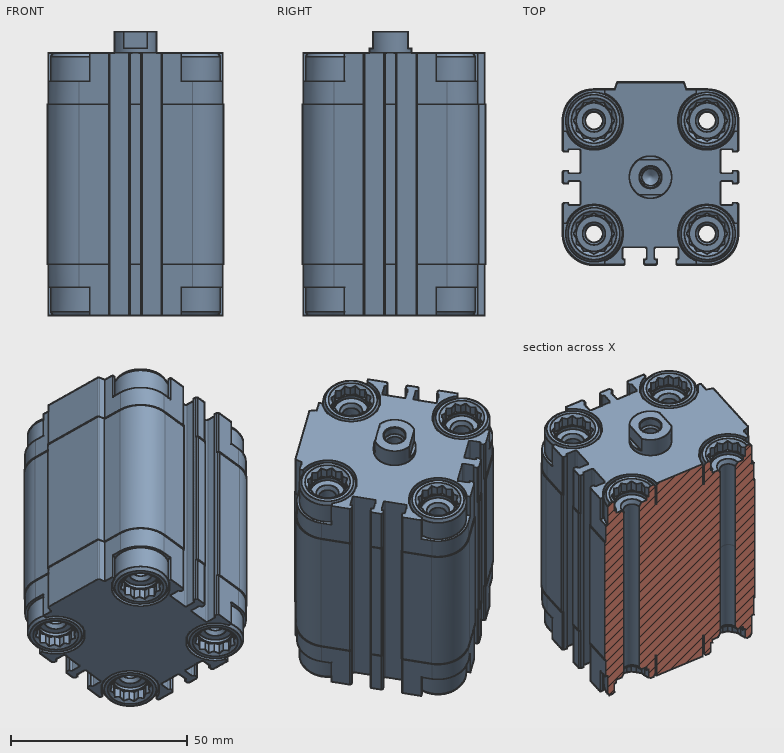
import cadquery as cq
import math

total_height = 80.5
housing_height = 74.5
housing_width = 50.0
half_width = housing_width / 2

cap_height = 14.5
cap_inset = 0.25

ridge_rise = 2.0
ridge_top_width = 19.0
ridge_base_width = 20.3
ridge_fillet = 0.4

slot_floor = 19.9
slot_inner_edge = 1.1
slot_outer_edge = 7.9
mouth_inner_edge = 1.85
mouth_outer_edge = 7.25
lip_thickness = 1.7
slot_fillet = 0.4
mouth_chamfer = 0.4

boss_pitch = 32.0
boss_diameter = 16.0
boss_chamfer_width = 0.65
boss_chamfer_height = 1.05
pocket_depth = 8.0
pocket_diameter = 16.6
pocket_wall = 3.0
corner_centre = boss_pitch / 2
barrel_corner_radius = half_width - corner_centre

socket_mouth_diameter = 12.8
socket_flats = 10.1
socket_corners = socket_flats / math.cos(math.radians(30))
socket_mouth_depth = 1.0
socket_depth = 3.8
socket_floor_depth = 4.9
screw_hole_diameter = 4.9
screw_hole_mouth = 6.4
screw_mouth_depth = 1.3

rod_diameter = 12.0
rod_bottom = housing_height - cap_height
rod_length = total_height - rod_bottom
rod_flats = 10.0
flats_height = 4.75
rod_hole_mouth = 6.4
rod_hole_diameter = 6.0
rod_step_depth = 2.7
rod_drill_diameter = 4.9
rod_drill_depth = 10.0
drill_point_angle = 118.0


def outline_block(inset, bottom, height):
    """Rounded square with the +Y ridge, its outer faces moved inwards by the inset."""
    width = housing_width - 2 * inset
    shoulder = width / 2
    block = (
        cq.Workplane("XY", origin=(0, 0, bottom))
        .rect(width, width)
        .extrude(height)
        .edges("|Z")
        .fillet(barrel_corner_radius - inset)
    )
    ridge = (
        cq.Workplane("XY", origin=(0, 0, bottom))
        .moveTo(-ridge_base_width / 2, 0)
        .lineTo(-ridge_base_width / 2, shoulder)
        .lineTo(-ridge_top_width / 2, shoulder + ridge_rise)
        .lineTo(ridge_top_width / 2, shoulder + ridge_rise)
        .lineTo(ridge_base_width / 2, shoulder)
        .lineTo(ridge_base_width / 2, 0)
        .close()
        .extrude(height)
        .edges("|Z and >Y")
        .fillet(ridge_fillet)
    )
    return block.union(ridge)


def slot_pair(inset, bottom, height):
    """Cutter for the two undercut slots of the -Y side, with chamfered mouths."""
    face = half_width - inset
    lip_inside = half_width - lip_thickness
    slot = (
        cq.Workplane("XY", origin=(slot_inner_edge, -lip_inside, bottom))
        .rect(slot_outer_edge - slot_inner_edge, lip_inside - slot_floor, centered=False)
        .extrude(height)
        .edges("|Z")
        .fillet(slot_fillet)
    )
    mouth = (
        cq.Workplane("XY", origin=(0, 0, bottom))
        .moveTo(mouth_inner_edge, -slot_floor - slot_fillet)
        .lineTo(mouth_inner_edge, -face + mouth_chamfer)
        .lineTo(mouth_inner_edge - mouth_chamfer, -face)
        .lineTo(mouth_outer_edge + mouth_chamfer, -face)
        .lineTo(mouth_outer_edge, -face + mouth_chamfer)
        .lineTo(mouth_outer_edge, -slot_floor - slot_fillet)
        .close()
        .extrude(height)
    )
    right_slot = slot.union(mouth)
    return right_slot.union(right_slot.mirror("YZ"))


def profile_section(inset, bottom, height):
    """Length of the slotted profile."""
    section = outline_block(inset, bottom, height)
    slots = slot_pair(inset, bottom, height)
    for angle in (0, 90, -90):
        section = section.cut(slots.rotate((0, 0, 0), (0, 0, 1), angle))
    return section


def corner_pocket():
    """Clearance around a top boss: a round recess opened out to the corner of the housing."""
    floor = housing_height - pocket_depth
    reach = barrel_corner_radius
    round_recess = cq.Workplane("XY", origin=(0, 0, floor)).circle(pocket_diameter / 2).extrude(pocket_depth)
    corner = (
        cq.Workplane("XY", origin=(-pocket_wall, -pocket_wall, floor))
        .rect(pocket_wall + reach, pocket_wall + reach, centered=False)
        .extrude(pocket_depth)
    )
    return round_recess.union(corner)


def boss():
    """Chamfered cylinder standing in a pocket, flush with the housing top."""
    radius = boss_diameter / 2
    floor = housing_height - pocket_depth
    return (
        cq.Workplane("XZ")
        .moveTo(0, floor)
        .lineTo(radius, floor)
        .lineTo(radius, housing_height - boss_chamfer_height)
        .lineTo(radius - boss_chamfer_width, housing_height)
        .lineTo(0, housing_height)
        .close()
        .revolve(360, (0, 0, 0), (0, 1, 0))
    )


def screw_socket():
    """Cutter for the stepped recess and the screw hole, down to mid height."""
    top = housing_height
    cone_and_bore = (
        cq.Workplane("XZ")
        .moveTo(0, top)
        .lineTo(socket_mouth_diameter / 2, top)
        .lineTo(socket_flats / 2, top - socket_mouth_depth)
        .lineTo(socket_flats / 2, top - socket_floor_depth)
        .lineTo(screw_hole_mouth / 2, top - socket_floor_depth)
        .lineTo(screw_hole_diameter / 2, top - socket_floor_depth - screw_mouth_depth)
        .lineTo(screw_hole_diameter / 2, top / 2)
        .lineTo(0, top / 2)
        .close()
        .revolve(360, (0, 0, 0), (0, 1, 0))
    )
    hexagon = (
        cq.Workplane("XY", origin=(0, 0, top - socket_depth))
        .polygon(6, socket_corners)
        .extrude(socket_depth)
    )
    turned_hexagon = hexagon.rotate((0, 0, 0), (0, 0, 1), 30)
    return cone_and_bore.union(hexagon).union(turned_hexagon)


def in_every_corner(shape):
    """The +X +Y top corner shape repeated in the four corners of both ends."""
    top_right = shape.translate((corner_centre, corner_centre, 0))
    top_pair = top_right.union(top_right.mirror("YZ"))
    top_four = top_pair.union(top_pair.mirror("XZ"))
    bottom_four = top_four.mirror("XY", (0, 0, housing_height / 2))
    return top_four.union(bottom_four)


def make_housing():
    barrel_height = housing_height - 2 * cap_height
    housing = profile_section(0, cap_height, barrel_height)
    for cap_bottom in (0, rod_bottom):
        housing = housing.union(profile_section(cap_inset, cap_bottom, cap_height))
    housing = housing.cut(in_every_corner(corner_pocket()))
    housing = housing.union(in_every_corner(boss()))
    housing = housing.cut(in_every_corner(screw_socket()))
    rod_seat = cq.Workplane("XY", origin=(0, 0, rod_bottom)).circle(rod_diameter / 2).extrude(cap_height)
    return housing.cut(rod_seat)


def rod_hole():
    """Blind stepped hole in the rod end with a conical bottom."""
    top = total_height
    mouth_depth = (rod_hole_mouth - rod_hole_diameter) / 2
    step_height = (rod_hole_diameter - rod_drill_diameter) / 2
    drill_radius = rod_drill_diameter / 2
    point_height = drill_radius / math.tan(math.radians(drill_point_angle / 2))
    return (
        cq.Workplane("XZ")
        .moveTo(0, top)
        .lineTo(rod_hole_mouth / 2, top)
        .lineTo(rod_hole_diameter / 2, top - mouth_depth)
        .lineTo(rod_hole_diameter / 2, top - rod_step_depth)
        .lineTo(drill_radius, top - rod_step_depth - step_height)
        .lineTo(drill_radius, top - rod_drill_depth)
        .lineTo(0, top - rod_drill_depth - point_height)
        .close()
        .revolve(360, (0, 0, 0), (0, 1, 0))
    )


def make_piston_rod():
    rod = cq.Workplane("XY", origin=(0, 0, rod_bottom)).circle(rod_diameter / 2).extrude(rod_length)
    between_flats = (
        cq.Workplane("XY", origin=(0, 0, total_height - flats_height))
        .rect(rod_diameter, rod_flats)
        .extrude(flats_height)
    )
    below_flats = (
        cq.Workplane("XY", origin=(0, 0, rod_bottom))
        .rect(rod_diameter, rod_diameter)
        .extrude(rod_length - flats_height)
    )
    return rod.intersect(below_flats.union(between_flats)).cut(rod_hole())


housing = make_housing()
piston_rod = make_piston_rod()
result = cq.Compound.makeCompound([housing.val(), piston_rod.val()])